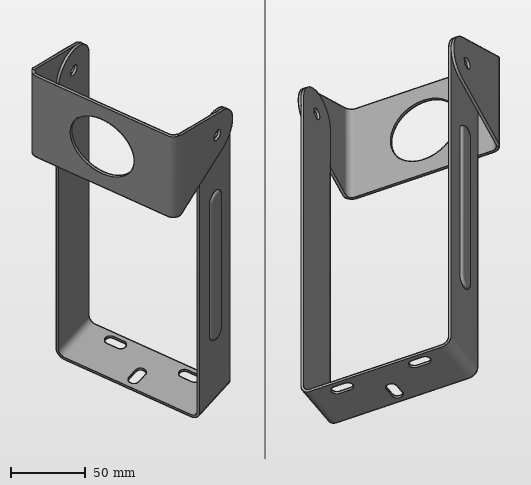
import cadquery as cq
import math

OVERALL_WIDTH = 118.3
OVERALL_DEPTH = 69.8
OVERALL_HEIGHT = 292.0
STRAP_SHEET = 2.0
BEND_RADIUS = 7.0
STRAP_DEPTH = 38.0
PIVOT_DIAMETER = 8.2

BRACKET_SHEET = 2.0
PLATE_HEIGHT = 76.0
PLATE_HOLE_DIAMETER = 50.8
FULL_HEIGHT_DEPTH = 4.5

BEAD_WIDTH = 13.0
BEAD_LENGTH = 138.5
BEAD_CENTRE_Z = 131.0
BEAD_EDGE_RADIUS = 2.3

SLOT_LENGTH = 16.0
SLOT_WIDTH = 8.0
SIDE_SLOT_SPACING = 59.0
SIDE_SLOT_FROM_BACK = 7.3
MIDDLE_SLOT_FROM_BACK = 26.3

BACK_Y = OVERALL_DEPTH / 2
FRONT_Y = -OVERALL_DEPTH / 2
END_RADIUS = STRAP_DEPTH / 2
PIVOT_Y = BACK_Y - END_RADIUS
PIVOT_Z = OVERALL_HEIGHT - PLATE_HEIGHT / 2
STRAP_WIDTH = OVERALL_WIDTH - 2 * BRACKET_SHEET
BEAD_HEIGHT = BRACKET_SHEET


def bent_channel(plane, width, floor, rim, length, sheet):
    """U channel between the floor and rim coordinates, bent round at both floor corners."""
    half_width = width / 2
    outer_path = (
        cq.Workplane(plane)
        .moveTo(-half_width, rim)
        .lineTo(-half_width, floor + BEND_RADIUS)
        .radiusArc((-half_width + BEND_RADIUS, floor), -BEND_RADIUS)
        .lineTo(half_width - BEND_RADIUS, floor)
        .radiusArc((half_width, floor + BEND_RADIUS), -BEND_RADIUS)
        .lineTo(half_width, rim)
    )
    inner_half = half_width - sheet
    inner_floor = floor + sheet
    inner_radius = BEND_RADIUS - sheet
    return (
        outer_path.lineTo(inner_half, rim)
        .lineTo(inner_half, inner_floor + inner_radius)
        .radiusArc((inner_half - inner_radius, inner_floor), inner_radius)
        .lineTo(-inner_half + inner_radius, inner_floor)
        .radiusArc((-inner_half, inner_floor + inner_radius), inner_radius)
        .lineTo(-inner_half, rim)
        .close()
        .extrude(length / 2, both=True)
    )


def pivot_holes():
    """Cylinder along X through both sides of either part."""
    return (
        cq.Workplane("YZ")
        .center(PIVOT_Y, PIVOT_Z)
        .circle(PIVOT_DIAMETER / 2)
        .extrude(OVERALL_WIDTH, both=True)
    )


def strap_outline():
    """Side shape of the strap: a bar with a round top about the pivot."""
    return (
        cq.Workplane("YZ")
        .moveTo(BACK_Y - STRAP_DEPTH, 0)
        .lineTo(BACK_Y, 0)
        .lineTo(BACK_Y, PIVOT_Z)
        .threePointArc((PIVOT_Y, PIVOT_Z + END_RADIUS), (BACK_Y - STRAP_DEPTH, PIVOT_Z))
        .close()
        .extrude(OVERALL_WIDTH, both=True)
    )


def bead(side):
    """Round-ended bead on the outside of one leg; side is -1 or +1."""
    raised = (
        cq.Workplane("YZ")
        .center(PIVOT_Y, BEAD_CENTRE_Z)
        .slot2D(BEAD_LENGTH, BEAD_WIDTH, 90)
        .extrude(BEAD_HEIGHT + STRAP_SHEET / 2)
        .faces(">X")
        .edges()
        .fillet(BEAD_EDGE_RADIUS)
        .translate((STRAP_WIDTH / 2 - STRAP_SHEET / 2, 0, 0))
    )
    return raised if side > 0 else raised.mirror("YZ")


def floor_slots():
    """Two slots along X near the back edge and one along Y in the middle."""
    side_slots = (
        cq.Workplane("XY")
        .pushPoints([(side * SIDE_SLOT_SPACING / 2, BACK_Y - SIDE_SLOT_FROM_BACK) for side in (-1, 1)])
        .slot2D(SLOT_LENGTH, SLOT_WIDTH)
        .extrude(STRAP_SHEET)
    )
    middle_slot = (
        cq.Workplane("XY")
        .center(0, BACK_Y - MIDDLE_SLOT_FROM_BACK)
        .slot2D(SLOT_LENGTH, SLOT_WIDTH, 90)
        .extrude(STRAP_SHEET)
    )
    return side_slots.union(middle_slot)


def make_strap():
    """Tall U-shaped mounting strap."""
    strap = bent_channel("XZ", STRAP_WIDTH, 0, OVERALL_HEIGHT, 2 * OVERALL_DEPTH, STRAP_SHEET)
    strap = strap.intersect(strap_outline())
    for side in (-1, 1):
        strap = strap.union(bead(side))
    return strap.cut(floor_slots()).cut(pivot_holes())


def bracket_outline():
    """Side shape of the bracket: straight edges running tangent from the pivot arc to the plate."""
    corner_y = FRONT_Y + FULL_HEIGHT_DEPTH
    corner_forward = PIVOT_Y - corner_y
    corner_rise = PLATE_HEIGHT / 2
    corner_distance = math.hypot(corner_forward, corner_rise)
    tangent_angle = math.atan2(corner_rise, corner_forward) + math.acos(END_RADIUS / corner_distance)
    tangent_y = PIVOT_Y - END_RADIUS * math.cos(tangent_angle)
    tangent_rise = END_RADIUS * math.sin(tangent_angle)
    return (
        cq.Workplane("YZ")
        .moveTo(FRONT_Y, PIVOT_Z - corner_rise)
        .lineTo(corner_y, PIVOT_Z - corner_rise)
        .lineTo(tangent_y, PIVOT_Z - tangent_rise)
        .threePointArc((BACK_Y, PIVOT_Z), (tangent_y, PIVOT_Z + tangent_rise))
        .lineTo(corner_y, PIVOT_Z + corner_rise)
        .lineTo(FRONT_Y, PIVOT_Z + corner_rise)
        .close()
        .extrude(OVERALL_WIDTH, both=True)
    )


def make_bracket():
    """Lamp bracket: front plate with a large hole and two tapered ears outside the strap legs."""
    bracket = bent_channel("XY", OVERALL_WIDTH, FRONT_Y, BACK_Y, 2 * OVERALL_HEIGHT, BRACKET_SHEET)
    bracket = bracket.intersect(bracket_outline())
    plate_hole = (
        cq.Workplane("XZ", origin=(0, FRONT_Y + BEND_RADIUS, PIVOT_Z))
        .circle(PLATE_HOLE_DIAMETER / 2)
        .extrude(2 * BEND_RADIUS)
    )
    return bracket.cut(plate_hole).cut(pivot_holes())


strap = make_strap()
bracket = make_bracket()

result = cq.Compound.makeCompound([strap.val(), bracket.val()])